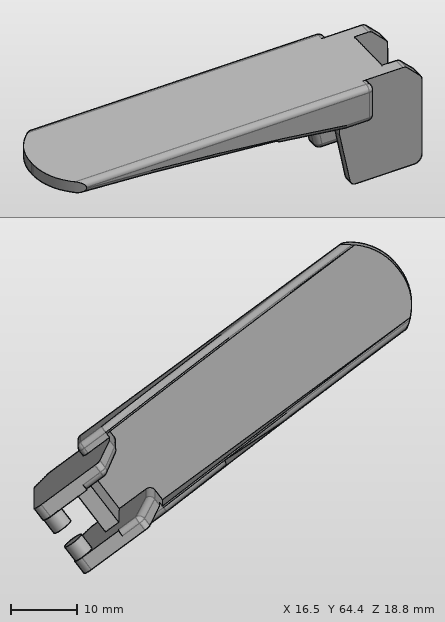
import cadquery as cq
import math


length = 64.4
width = 16.5
height = 18.8
edge_radius = 0.95

lever_back = -9.35
plate_thickness = 2.0
lever_depth = 6.65
rim_width = 1.2
underside_end = -61.8
underside_mid = (-39.9, -3.55)
tip_radius = 9
tip_flat = 0.6

legs_width = 12.6
leg_front = -14.35
leg_slope_top = -8.75
leg_foot_front = -12.35
leg_chamfer = 2.9
chamfer_blend = 1.0
heel_radius = 1.4
toe_radius = 0.95
channel_top_width = 8.45
channel_foot_width = 7.9
channel_edge_radius = 0.95

web_back = -5.8
web_thickness = 2.5
web_front = web_back - web_thickness
web_depth = 12.3

pin_diameter = 3.2
pin_gap = 2.65
pin_y = -1.7
pin_z = -17.05

margin = 0.05


def block(x_size, y_front, y_back, z_bottom, z_top):
    """Box centred on X, given by its Y and Z limits."""
    start = cq.Workplane("XY", origin=(0, y_front, z_bottom))
    return start.box(x_size, y_back - y_front, z_top - z_bottom, centered=(True, False, False))


def fillet_corner(body, y, z, radius):
    """Round the edge along X that passes through the given Y and Z."""
    return body.edges("|X").edges(cq.selectors.NearestToPointSelector((0, y, z))).fillet(radius)


def tip_outline():
    """Plan of the lever: straight sides closed by two arcs and a short flat at the tip."""
    half_width = width / 2
    half_flat = tip_flat / 2
    centre_y = tip_radius - length

    def arc_point(x):
        return (x, centre_y - math.sqrt(tip_radius**2 - (abs(x) - half_flat) ** 2))

    mid_x = (half_width + half_flat) / 2
    return (
        cq.Workplane("XY")
        .moveTo(-half_width, 0)
        .lineTo(*arc_point(-half_width))
        .threePointArc(arc_point(-mid_x), (-half_flat, -length))
        .lineTo(half_flat, -length)
        .threePointArc(arc_point(mid_x), arc_point(half_width))
        .lineTo(half_width, 0)
        .close()
        .extrude(-height)
    )


def make_lever():
    """Tapering lever with rounded edges, a round tip and a hollow underside."""
    lever = (
        cq.Workplane("YZ")
        .moveTo(lever_back, 0)
        .lineTo(lever_back, -lever_depth)
        .lineTo(leg_front, -lever_depth)
        .threePointArc(underside_mid, (underside_end, -plate_thickness))
        .lineTo(-length, -plate_thickness)
        .lineTo(-length, 0)
        .close()
        .extrude(width / 2, both=True)
    )
    lever = lever.edges("<X or >X or >Y").edges("not <Y").fillet(edge_radius)
    lever = lever.intersect(tip_outline())
    hollow = block(width - 2 * rim_width, -length, leg_front, -height, -plate_thickness)
    leg_space = block(legs_width, leg_front, 0, -height, -plate_thickness)
    return lever.cut(hollow).cut(leg_space)


def make_leg_outline():
    """Side outline of the legs, as one block across both of them."""
    outline = (
        cq.Workplane("YZ")
        .moveTo(-leg_chamfer, 0)
        .lineTo(0, -leg_chamfer)
        .lineTo(0, -height)
        .lineTo(leg_foot_front, -height)
        .lineTo(leg_front, leg_slope_top)
        .lineTo(leg_front, 0)
        .close()
        .extrude(legs_width / 2, both=True)
    )
    outline = fillet_corner(outline, 0, -height, heel_radius)
    outline = fillet_corner(outline, leg_foot_front, -height, toe_radius)
    outline = fillet_corner(outline, -leg_chamfer, 0, chamfer_blend)
    return fillet_corner(outline, 0, -leg_chamfer, chamfer_blend)


def make_channel():
    """Drafted space between the legs, leaving the web and the top plate in place."""
    channel = (
        cq.Workplane("XZ")
        .moveTo(-channel_top_width / 2, 0)
        .lineTo(channel_top_width / 2, 0)
        .lineTo(channel_foot_width / 2, -height)
        .lineTo(-channel_foot_width / 2, -height)
        .close()
        .extrude(-leg_front)
    )
    web = block(legs_width, web_front, web_back, -web_depth, 0)
    plate = block(legs_width, leg_front, web_back, -plate_thickness, 0)
    return channel.cut(web).cut(plate)


def make_legs():
    """Both legs with the web and top plate that join them.

    The inner edges are rounded only in front of the web.
    """
    legs = make_leg_outline().cut(make_channel())
    reach = channel_top_width / 2 + margin
    inner_front_edges = cq.selectors.BoxSelector(
        (-reach, leg_front - margin, -height + margin),
        (reach, leg_foot_front, -plate_thickness - margin),
    )
    rounded_legs = legs.edges(inner_front_edges).edges("not |X").fillet(channel_edge_radius)
    front_half = block(legs_width, leg_front, web_front, -height, 0)
    return legs.cut(front_half).union(rounded_legs.intersect(front_half))


def make_pin(side):
    """Pin from the middle of one leg inwards; side is -1 or 1."""
    start = side * pin_gap / 2
    leg_middle = (legs_width + channel_top_width) / 4
    pin_length = leg_middle - pin_gap / 2
    return cq.Workplane("YZ", origin=(start, pin_y, pin_z)).circle(pin_diameter / 2).extrude(side * pin_length)


result = make_lever().union(make_legs())
for side in (-1, 1):
    result = result.union(make_pin(side))